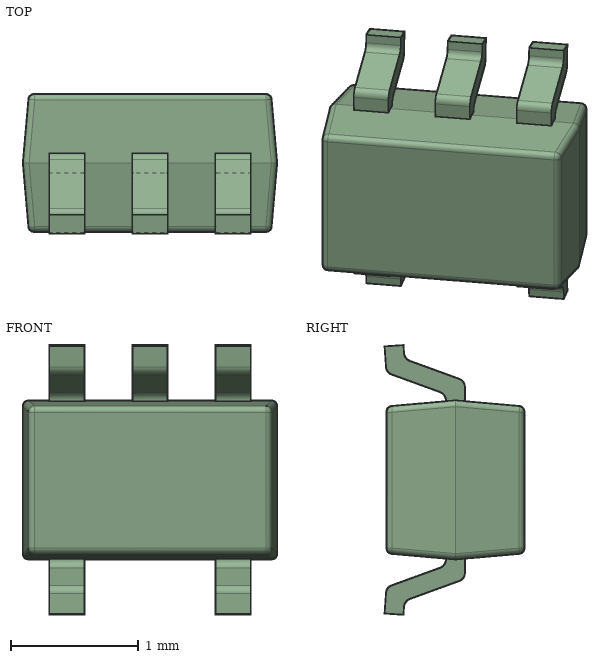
import cadquery as cq
import math

body_length = 2.0
body_height = 1.25
body_depth = 1.085
draft_angle = 5
edge_radius = 0.049

lead_span = 2.12
lead_front = 0.558
lead_width = 0.278
lead_thickness = 0.15
lead_pitch = 0.653
bend_radius = 0.07
root_z = 0.425
knee_z = 0.725
slope_angle = 20
foot_tilt = 4

upper_lead_places = [-lead_pitch, 0, lead_pitch]
lower_lead_places = [-lead_pitch, lead_pitch]


def make_body():
    def half(side):
        return (
            cq.Workplane("XZ")
            .rect(body_length, body_height)
            .extrude(side * body_depth / 2, taper=draft_angle)
        )

    body = half(1).union(half(-1))
    outer_faces = body.faces("<Y or >Y").edges()
    corner_edges = body.edges("(not #Y) and (not |X) and (not |Z)")
    return body.newObject(outer_faces.vals() + corner_edges.vals()).fillet(edge_radius)


def offset_corner(point, heading_in, heading_out, distance):
    """Mitred corner of a line running parallel to a bent path, to its left."""
    normal = math.radians((heading_in + heading_out) / 2 + 90)
    reach = distance / math.cos(math.radians((heading_out - heading_in) / 2))
    return (point[0] + reach * math.cos(normal), point[1] + reach * math.sin(normal))


def make_lead():
    """Upper lead centred on X = 0."""
    half_thickness = lead_thickness / 2
    tilt = math.radians(foot_tilt)

    tip_y = -lead_front + half_thickness * math.cos(tilt)
    tip_z = lead_span / 2 - half_thickness * math.sin(tilt)

    rise = math.tan(math.radians(slope_angle))
    lean = math.tan(tilt)
    heel_y = (tip_y + lean * (tip_z - knee_z)) / (1 - lean * rise)
    heel_z = knee_z - heel_y * rise

    path = [(0, root_z), (0, knee_z), (heel_y, heel_z), (tip_y, tip_z)]
    headings = [90, 180 - slope_angle, 90 + foot_tilt]
    headings_in = [headings[0]] + headings
    headings_out = headings + [headings[-1]]
    corners = list(zip(path, headings_in, headings_out))

    left = [offset_corner(*corner, half_thickness) for corner in corners]
    right = [offset_corner(*corner, -half_thickness) for corner in corners]
    strip = (
        cq.Workplane("YZ")
        .polyline(left + right[::-1])
        .close()
        .extrude(lead_width / 2, both=True)
    )
    bends = [
        edge
        for y, z in left[1:3] + right[1:3]
        for edge in strip.edges(cq.selectors.NearestToPointSelector((0, y, z))).vals()
    ]
    return strip.newObject(bends).fillet(bend_radius)


result = make_body()
upper_lead = make_lead()
lower_lead = upper_lead.mirror("XY")
for x in upper_lead_places:
    result = result.union(upper_lead.translate((x, 0, 0)))
for x in lower_lead_places:
    result = result.union(lower_lead.translate((x, 0, 0)))